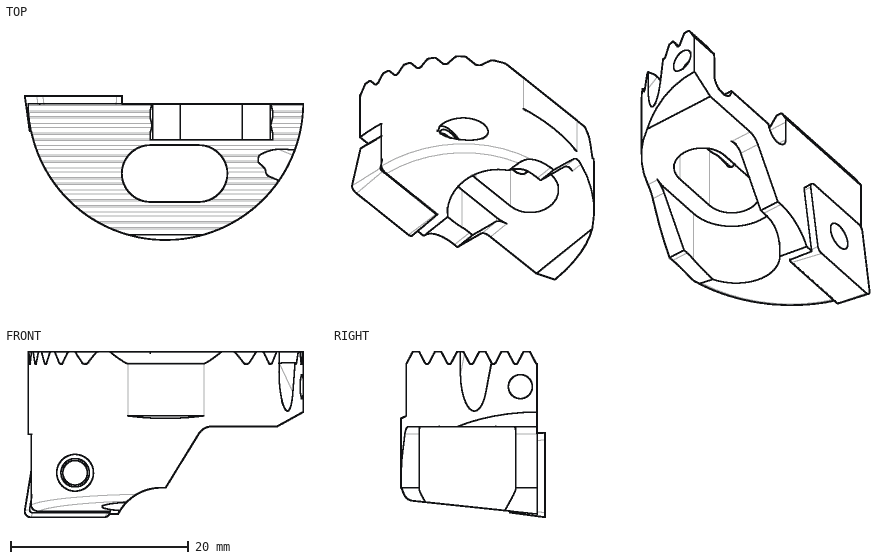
import cadquery as cq
import math


WALL_RADIUS = 15.52
AXIS_Y = 0.15
FRONT_Y = AXIS_Y - WALL_RADIUS
BASE_BACK_Z = -18.32
BASE_SLOPE = 6.0
BASE_ROUNDING = 0.75
CLEAR = 25.15
LEVEL_TOLERANCE = 0.003

TOOTH_ROW_LENGTH = 15.0
CREST_WIDTH = 0.72
VALLEY_COUNT = 7
TOOTH_PITCH = TOOTH_ROW_LENGTH / (VALLEY_COUNT - 1)
FIRST_VALLEY_Y = 0.08
FLANK_ANGLE = 62.5
CREST_ROUNDING = 0.2
ROOT_ROUNDING = 0.25
VALLEY_DEPTH = (TOOTH_PITCH - CREST_WIDTH) / 2 * math.tan(math.radians(FLANK_ANGLE))

STEP_Z = -8.45
STEP_CORNER_X = 4.25
STEP_CORNER_RADIUS = 1.73
STEP_CHAMFER_X = 12.57
STEP_CHAMFER_SLOPE = 29.0
LEG_TIP_Z = -15.35
GULLET_START_X = -0.53
GULLET_RADIUS = 5.45
GULLET_SWEEP = 65.0

WINDOW_X = 1.0
WINDOW_Y = -7.85
WINDOW_LENGTH = 11.88
WINDOW_WIDTH = 6.38
COUNTERBORE_WIDTH = 10.87

KEYWAY_X = 5.15
KEYWAY_TOP_WIDTH = 13.82
KEYWAY_WIDTH = 13.25
KEYWAY_DRAFT_Z = -2.0
KEYWAY_FLOOR_Z = -4.7
KEYWAY_END_Y = FIRST_VALLEY_Y - 1.5 * TOOTH_PITCH - CREST_WIDTH / 2
RELIEF_RADIUS = 1.57

FLAT_Y = -14.77
FLAT_BOTTOM_Z = -7.25
FLAT_RUNOUT = 0.28

NOTCH_X = 12.3
NOTCH_Y = -6.6
NOTCH_HEADING = -23.0
NOTCH_TILT = 27.0
NOTCH_RADIUS = 1.7
NOTCH_FLARE = 24.0

SIDE_HOLE_Y = -1.9
SIDE_HOLE_Z = -3.95
SIDE_HOLE_RADIUS = 1.35
SIDE_HOLE_DEPTH = 1.9

INSERT_FRONT_Y = 0.9
INSERT_BACK_Y = -3.08
INSERT_TOP_Z = -9.15
INSERT_BOTTOM_Z = -18.7
INSERT_LEFT_X = -16.02
INSERT_WIDTH = 9.68
INSERT_LEAN = 9.3
INSERT_ROUNDING = 0.7
BACK_LOWER_ROUNDING = 0.3
SIDE_RELIEF = 0.53
BOTTOM_RELIEF = 0.53
TOP_RELIEF = 0.2

PIN_X = -10.2
PIN_Z = -13.67
PIN_RADIUS = 1.6
PIN_CHAMFER = 0.22
PIN_TIP_Y = -8.67
ACCESS_RADIUS = 2.07
ACCESS_FLOOR_Y = -9.1


def cylinder(radius, start, direction, length):
    return cq.Workplane(cq.Solid.makeCylinder(radius, length, cq.Vector(*start), cq.Vector(*direction)))


def cylinder_along_y(radius, x, z, y_start, y_end):
    return cylinder(radius, (x, y_start, z), (0, 1, 0), y_end - y_start)


def through_x(points):
    """Prism along X, symmetric about X = 0, from a YZ outline."""
    return cq.Workplane("YZ").polyline(points).close().extrude(CLEAR, both=True)


def edges_at_level(block, z):
    """Edges along X that lie at height z."""
    return block.edges("|X").filter(lambda edge: abs(edge.Center().z - z) < LEVEL_TOLERANCE)


def round_wall_blank():
    """Half cylinder with a sloping, rounded base."""
    wall = cylinder(WALL_RADIUS, (0, AXIS_Y, -CLEAR), (0, 0, 1), CLEAR)
    rise = CLEAR * math.tan(math.radians(BASE_SLOPE))
    above_base = through_x([
        (CLEAR, BASE_BACK_Z - rise),
        (-CLEAR, BASE_BACK_Z + rise),
        (-CLEAR, CLEAR),
        (CLEAR, CLEAR),
    ])
    rounded = wall.intersect(above_base).faces("<Z").edges().fillet(BASE_ROUNDING)
    front_half = cq.Workplane().box(2 * CLEAR, CLEAR, 3 * CLEAR).translate((0, -CLEAR / 2, 0))
    return rounded.intersect(front_half)


def serrated_envelope():
    """Block whose top carries the full row of rounded teeth."""
    half_mouth = (TOOTH_PITCH - CREST_WIDTH) / 2
    points = [(CLEAR, 0)]
    for i in range(VALLEY_COUNT):
        y = FIRST_VALLEY_Y - i * TOOTH_PITCH
        points += [(y + half_mouth, 0), (y, -VALLEY_DEPTH), (y - half_mouth, 0)]
    points += [(-CLEAR, 0), (-CLEAR, -CLEAR), (CLEAR, -CLEAR)]
    block = through_x(points)
    block = edges_at_level(block, -VALLEY_DEPTH).fillet(ROOT_ROUNDING)
    return edges_at_level(block, 0).fillet(CREST_ROUNDING)


def stepped_underside():
    """Space under the +X side: step, sloping flank and round chip gullet."""
    gullet_angle = math.radians(GULLET_SWEEP)
    gullet_z = LEG_TIP_Z - GULLET_RADIUS

    def gullet_point(angle):
        return (GULLET_START_X - GULLET_RADIUS * math.sin(angle), gullet_z + GULLET_RADIUS * math.cos(angle))

    chamfer_rise = (CLEAR - STEP_CHAMFER_X) * math.tan(math.radians(STEP_CHAMFER_SLOPE))
    end = gullet_point(gullet_angle)
    cutter = (
        cq.Workplane("XZ")
        .moveTo(CLEAR, STEP_Z + chamfer_rise)
        .lineTo(STEP_CHAMFER_X, STEP_Z)
        .lineTo(STEP_CORNER_X, STEP_Z)
        .lineTo(0, LEG_TIP_Z)
        .lineTo(GULLET_START_X, LEG_TIP_Z)
        .threePointArc(gullet_point(gullet_angle / 2), end)
        .lineTo(end[0], -CLEAR)
        .lineTo(CLEAR, -CLEAR)
        .close()
        .extrude(CLEAR, both=True)
    )
    corner = cq.selectors.NearestToPointSelector((STEP_CORNER_X, 0, STEP_Z))
    return cutter.edges(corner).fillet(STEP_CORNER_RADIUS)


def obround(width, top):
    """Upright obround cutter around the window's centres, running down from the given level."""
    centre_distance = WINDOW_LENGTH - WINDOW_WIDTH
    return (
        cq.Workplane(origin=(WINDOW_X, WINDOW_Y, top))
        .slot2D(centre_distance + width, width)
        .extrude(-CLEAR)
    )


def window():
    return obround(WINDOW_WIDTH, 0).union(obround(COUNTERBORE_WIDTH, STEP_Z))


def keyway():
    """Drafted keyway with a round relief channel at each side of its floor."""
    top_half = KEYWAY_TOP_WIDTH / 2
    half = KEYWAY_WIDTH / 2
    floor_half = half - 2 * RELIEF_RADIUS
    relief_x = half - RELIEF_RADIUS
    relief_z = KEYWAY_FLOOR_Z - RELIEF_RADIUS
    return (
        cq.Workplane("XZ", origin=(KEYWAY_X, 0, 0))
        .moveTo(-top_half, 0)
        .lineTo(-half, KEYWAY_DRAFT_Z)
        .lineTo(-half, KEYWAY_FLOOR_Z)
        .threePointArc((-relief_x, relief_z), (-floor_half, KEYWAY_FLOOR_Z))
        .lineTo(floor_half, KEYWAY_FLOOR_Z)
        .threePointArc((relief_x, relief_z), (half, KEYWAY_FLOOR_Z))
        .lineTo(half, KEYWAY_DRAFT_Z)
        .lineTo(top_half, 0)
        .close()
        .extrude(-KEYWAY_END_Y)
    )


def front_flat():
    return through_x([
        (FLAT_Y, 0),
        (FLAT_Y, FLAT_BOTTOM_Z),
        (FRONT_Y, FLAT_BOTTOM_Z - FLAT_RUNOUT),
        (FRONT_Y, 0),
    ])


def rim_notch():
    """U-shaped groove whose steep axis leans outwards as it goes down."""
    heading = math.radians(NOTCH_HEADING)
    tilt = math.radians(NOTCH_TILT)
    outward = (math.cos(heading), math.sin(heading))
    axis = cq.Vector(outward[0] * math.sin(tilt), outward[1] * math.sin(tilt), -math.cos(tilt))
    opening = cq.Vector(outward[0] * math.cos(tilt), outward[1] * math.cos(tilt), math.sin(tilt))
    start = cq.Vector(NOTCH_X, NOTCH_Y, 0) - axis * CLEAR
    flare = math.radians(NOTCH_FLARE)
    tangent_x = -NOTCH_RADIUS * math.sin(flare)
    tangent_y = -NOTCH_RADIUS * math.cos(flare)
    return (
        cq.Workplane(cq.Plane(origin=start, xDir=opening, normal=axis))
        .moveTo(WALL_RADIUS, NOTCH_RADIUS)
        .lineTo(0, NOTCH_RADIUS)
        .threePointArc((-NOTCH_RADIUS, 0), (tangent_x, tangent_y))
        .lineTo(WALL_RADIUS, tangent_y - (WALL_RADIUS - tangent_x) * math.tan(flare))
        .close()
        .extrude(2 * CLEAR)
    )


def side_hole():
    return cylinder(
        SIDE_HOLE_RADIUS,
        (WALL_RADIUS - SIDE_HOLE_DEPTH, SIDE_HOLE_Y, SIDE_HOLE_Z),
        (1, 0, 0),
        CLEAR,
    )


def lean_at(z):
    """Sideways shift of the insert's upright sides at height z."""
    return (z - INSERT_BOTTOM_Z) * math.tan(math.radians(INSERT_LEAN))


def insert_outline(y, side, bottom, top, lower_rounding):
    """Rounded outline of the leaning insert at depth y; side, bottom and top move inwards."""
    low = INSERT_BOTTOM_Z + bottom
    high = INSERT_TOP_Z - top
    left = INSERT_LEFT_X + side
    right = INSERT_LEFT_X + INSERT_WIDTH
    corners = [
        cq.Vector(left + lean_at(low), y, low),
        cq.Vector(right + lean_at(low), y, low),
        cq.Vector(right + lean_at(high), y, high),
        cq.Vector(left + lean_at(high), y, high),
    ]
    outline = cq.Wire.makePolygon(corners, close=True)
    lower_corners = [corner for corner in outline.Vertices() if corner.Z < PIN_Z]
    outline = outline.fillet2D(lower_rounding, lower_corners)
    upper_corners = [corner for corner in outline.Vertices() if corner.Z > PIN_Z]
    return outline.fillet2D(INSERT_ROUNDING, upper_corners)


def insert_blank():
    """Leaning plate that tapers towards its back for cutting clearance."""
    front = insert_outline(INSERT_FRONT_Y, 0, 0, 0, INSERT_ROUNDING)
    back = insert_outline(INSERT_BACK_Y, SIDE_RELIEF, BOTTOM_RELIEF, TOP_RELIEF, BACK_LOWER_ROUNDING)
    return cq.Workplane(cq.Solid.makeLoft([front, back], True))


def pocket_opening():
    """Opens the insert pocket through the round wall, the base and the back face."""
    top = INSERT_TOP_Z - TOP_RELIEF
    middle = INSERT_LEFT_X + INSERT_WIDTH / 2
    return (
        cq.Workplane("XZ", origin=(0, INSERT_BACK_Y, 0))
        .moveTo(middle, top)
        .rect(-CLEAR, -CLEAR, centered=False)
        .extrude(-CLEAR)
    )


def pin_bore():
    return cylinder_along_y(PIN_RADIUS, PIN_X, PIN_Z, ACCESS_FLOOR_Y, INSERT_FRONT_Y)


def make_housing():
    body = round_wall_blank().intersect(serrated_envelope())
    body = body.cut(stepped_underside()).cut(window()).cut(keyway()).cut(front_flat())
    body = body.cut(rim_notch()).cut(side_hole())
    body = body.cut(pocket_opening()).cut(insert_blank())
    access = cylinder_along_y(ACCESS_RADIUS, PIN_X, PIN_Z, -CLEAR, ACCESS_FLOOR_Y)
    return body.cut(access).cut(pin_bore())


def make_insert():
    return insert_blank().cut(pin_bore())


def make_pin():
    pin = cylinder_along_y(PIN_RADIUS, PIN_X, PIN_Z, PIN_TIP_Y, INSERT_FRONT_Y)
    return pin.faces("<Y").chamfer(PIN_CHAMFER)


housing = make_housing()
cutting_insert = make_insert()
pin = make_pin()

result = cq.Compound.makeCompound([
    housing.solids().val(),
    cutting_insert.solids().val(),
    pin.solids().val(),
])